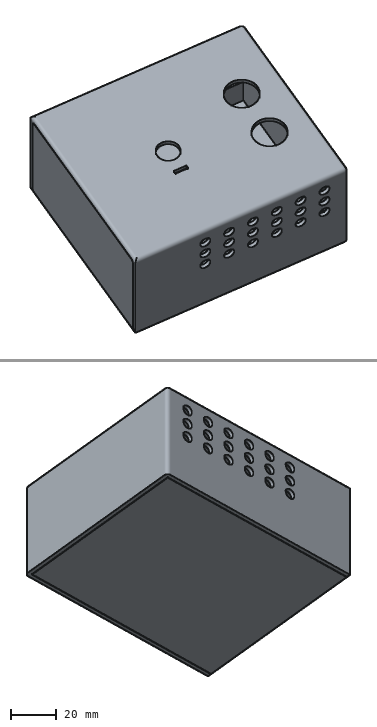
import cadquery as cq

width = 94.4
depth = 107.2
height = 50.0
wall = 2.0
clearance = 0.2
outer_radius = 1.8
inner_radius = 1.8
panel_radius = 1.6

large_hole_diameter = 16.0
large_hole_pitch = 25.0
large_hole_x = -0.2
large_hole_y = 33.5
small_hole_diameter = 11.0
small_hole_x = -0.2
small_hole_y = -10.5
slot_width = 1.7
slot_length = 6.4
slot_x = 11.7
slot_y = -10.7

vent_diameter = 5.0
vent_columns = 6
vent_rows = 3
vent_column_pitch = 12.0
vent_row_pitch = 7.5
vent_back_offset = 11.9
vent_top_offset = 8.0

inner_width = width - 2 * wall
inner_depth = depth - wall
inner_height = height - wall

base_width = inner_width - 2 * clearance
base_depth = inner_depth - clearance
base_height = inner_height - clearance
rim_height = 15.0


def front_anchored_block(block_width, block_depth, block_height):
    """Block that starts at the front face and stands on the base plane."""
    return (
        cq.Workplane("XY")
        .box(block_width, block_depth, block_height, centered=(True, False, False))
        .translate((0, -depth / 2, 0))
    )


def cut_top_openings(body):
    large_holes = (
        cq.Workplane("XY", origin=(large_hole_x, large_hole_y, height))
        .pushPoints([(side * large_hole_pitch / 2, 0) for side in (-1, 1)])
        .circle(large_hole_diameter / 2)
        .extrude(-wall)
    )
    small_hole = (
        cq.Workplane("XY", origin=(small_hole_x, small_hole_y, height))
        .circle(small_hole_diameter / 2)
        .extrude(-wall)
    )
    slot = (
        cq.Workplane("XY", origin=(slot_x, slot_y, height))
        .rect(slot_width, slot_length)
        .extrude(-wall)
    )
    return body.cut(large_holes).cut(small_hole).cut(slot)


def cut_vents(body):
    first_y = depth / 2 - vent_back_offset
    first_z = height - vent_top_offset
    centres = [
        (first_y - column * vent_column_pitch, first_z - row * vent_row_pitch)
        for column in range(vent_columns)
        for row in range(vent_rows)
    ]
    vents = (
        cq.Workplane("YZ")
        .pushPoints(centres)
        .circle(vent_diameter / 2)
        .extrude(width / 2, both=True)
    )
    return body.cut(vents)


def make_housing():
    """Top, back and side walls, open at the front and the bottom."""
    shell = front_anchored_block(width, depth, height)
    shell = shell.edges("(|Z and >Y) or >Z").fillet(outer_radius)
    cavity = front_anchored_block(inner_width, inner_depth, inner_height)
    cavity = cavity.edges("|Y and >Z").fillet(inner_radius)
    return cut_vents(cut_top_openings(shell.cut(cavity)))


def make_base():
    """Tray with a floor, a front panel and two low side rims that closes the housing."""
    floor = front_anchored_block(base_width, base_depth, wall)
    panel = front_anchored_block(base_width, wall, base_height)
    panel = panel.edges("|Y and >Z").fillet(panel_radius)
    base = floor.union(panel)
    rim_x = (base_width - wall) / 2
    for side in (-1, 1):
        rim = front_anchored_block(wall, base_depth, rim_height)
        base = base.union(rim.translate((side * rim_x, 0, 0)))
    return base


housing = make_housing()
base = make_base()

result = cq.Compound.makeCompound([*housing.solids().vals(), *base.solids().vals()])